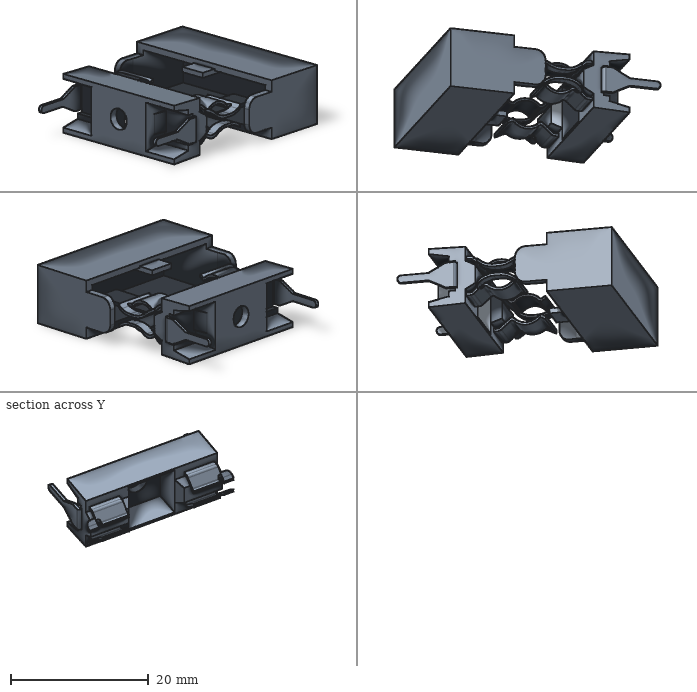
import cadquery as cq
import math


total_length = 32.6
height = 9.0
cover_back_y = total_length / 2
terminal_tip_y = -total_length / 2

cover_width = 26.6
cover_depth = 9.75
cover_end_wall = 1.27
cover_roof = 1.0
cover_mouth_y = cover_back_y - cover_depth
ear_length = 4.75
ear_height = 5.48
ear_corner_radius = 1.55
ear_tip_thickness = 1.0
ear_taper_length = 2.5
rail_width = 4.08
rail_overhang = 2.5
rail_thickness = 0.78
rail_inset = 0.75

base_width = 21.9
base_front_y = -11.77
base_back_y = -6.25
base_back_height = 8.7
lug_length = 1.47
lug_foot_height = 4.43
lug_tip_height = 2.8
lug_tip_inner_x = 4.6
cavity_width = 7.7
cavity_height = 8.0
cavity_front_wall = 1.27
sight_hole_diameter = 3.2

pocket_inner_x = 5.4
pocket_floor_y = -7.8
pocket_step_y = -8.7
pocket_floor_height = 4.6
pocket_step_height = 6.2
pocket_mouth_height = 7.43
wedge_start_y = -10.05
wedge_rise = 0.33
wedge_height = 3.13

terminal_thickness = 0.52
terminal_bend_radius = 0.5
terminal_outer_x = 11.57
terminal_plate_height = 3.8
terminal_pin_height = 1.15
terminal_taper_start_y = -9.05
terminal_taper_end_y = -11.65
terminal_foot_y = -7.95

sheet = 0.4
clip_outer_x = 12.03
clip_stem_outer_x = 10.43
clip_inner_x = pocket_inner_x
clip_root = 0.33
stem_z = 2.8
trough_z = 0.72
trough_front_y = -1.73
trough_back_y = -0.9
trough_radius = 3.42
stem_bend_radius = 0.6
stem_slope = math.radians(41)
lip_slope = math.radians(30)
lip_length = 0.9
shoulder_y = -4.43
frame_corner_radius = 0.78
lip_inner_radius = 0.23
slot_inner_x = 9.8
slot_front_y = -4.2
slot_back_y = 1.05
slot_corner_radius = 0.33
arch_front_y = -3.45
arch_back_y = 0.72
arch_radius = 2.6
arch_crest_z = 2.2
arch_foot_z = 1.15
arch_front_blend = 0.4
arch_back_blend = 0.2


def box(x_range, y_range, z_range):
    """Axis-aligned block between the given limits."""
    sizes = [end - start for start, end in (x_range, y_range, z_range)]
    corner = (x_range[0], y_range[0], z_range[0])
    return cq.Workplane("XY").box(*sizes, centered=False).translate(corner)


def centred(width):
    """Limits of a span centred on zero."""
    return (-width / 2, width / 2)


def side_prism(points, x_range):
    """Prism along X with its outline given as (y, z) points."""
    start, end = x_range
    return cq.Workplane("YZ", origin=(start, 0, 0)).polyline(points).close().extrude(end - start)


def plan_prism(points, z_range):
    """Prism along Z with its outline given as (x, y) points."""
    start, end = z_range
    return cq.Workplane("XY", origin=(0, 0, start)).polyline(points).close().extrude(end - start)


def mirrored_outline(upper_points):
    """Closed outline from its upper half, by reflecting the (y, z) points in z = 0."""
    return upper_points + [(y, -z) for y, z in reversed(upper_points)]


def on_both_ends(shape):
    """The shape and its mirror image at the other end of the fuse."""
    return [shape, shape.mirror("YZ")]


def cover_ear():
    """Rounded guide plate that extends the +X end wall; its inner face tapers towards the tip."""
    outer_x = cover_width / 2
    inner_x = outer_x - cover_end_wall
    tip_y = cover_mouth_y - ear_length
    ear = box((inner_x, outer_x), (tip_y, cover_mouth_y), centred(ear_height))
    ear = ear.edges("|X and <Y").fillet(ear_corner_radius)
    taper = plan_prism(
        [(inner_x, tip_y + ear_taper_length), (inner_x, tip_y), (outer_x - ear_tip_thickness, tip_y)],
        centred(ear_height),
    )
    return ear.cut(taper)


def cover_rail():
    """Guide rail inside the roof that reaches out of the mouth."""
    top_z = height / 2 - rail_inset
    return box(
        centred(rail_width),
        (cover_mouth_y - rail_overhang, cover_back_y - cover_end_wall),
        (top_z - rail_thickness, top_z),
    )


def make_cover():
    cover = box(centred(cover_width), (cover_mouth_y, cover_back_y), centred(height))
    interior = box(
        centred(cover_width - 2 * cover_end_wall),
        (cover_mouth_y, cover_back_y - cover_end_wall),
        centred(height - 2 * cover_roof),
    )
    cover = cover.cut(interior)
    for ear in on_both_ends(cover_ear()):
        cover = cover.union(ear)
    rail = cover_rail()
    return cover.union(rail).union(rail.mirror("XY"))


def base_lug():
    """Tapered nose behind the +X pocket."""
    tip_y = base_back_y + lug_length
    side = side_prism(
        mirrored_outline([(base_back_y, lug_foot_height / 2), (tip_y, lug_tip_height / 2)]),
        (0, base_width / 2),
    )
    plan = plan_prism(
        [
            (base_width / 2, base_back_y),
            (base_width / 2, tip_y),
            (lug_tip_inner_x, tip_y),
            (cavity_width / 2, base_back_y),
        ],
        centred(lug_foot_height),
    )
    return side.intersect(plan)


def side_pocket():
    """Stepped and flared pocket, open at the front and at the +X end."""
    outline = mirrored_outline(
        [
            (base_front_y, pocket_mouth_height / 2),
            (pocket_step_y, pocket_step_height / 2),
            (pocket_step_y, pocket_floor_height / 2),
            (pocket_floor_y, pocket_floor_height / 2),
        ]
    )
    return side_prism(outline, (pocket_inner_x, base_width / 2))


def pocket_wedge():
    """Ramp on the inner wall of the +X pocket, highest at the pocket floor."""
    return plan_prism(
        [
            (pocket_inner_x, wedge_start_y),
            (pocket_inner_x, pocket_floor_y),
            (pocket_inner_x + wedge_rise, pocket_floor_y),
        ],
        centred(wedge_height),
    )


def make_base_block():
    block = side_prism(
        mirrored_outline([(base_front_y, height / 2), (base_back_y, base_back_height / 2)]),
        centred(base_width),
    )
    cavity = box(
        centred(cavity_width),
        (base_front_y + cavity_front_wall, base_back_y),
        centred(cavity_height),
    )
    sight_hole = (
        cq.Workplane("XZ", origin=(0, base_front_y, 0))
        .circle(sight_hole_diameter / 2)
        .extrude(-cavity_front_wall)
    )
    block = block.cut(cavity).cut(sight_hole)
    for pocket in on_both_ends(side_pocket()):
        block = block.cut(pocket)
    for part in on_both_ends(base_lug()) + on_both_ends(pocket_wedge()):
        block = block.union(part)
    return block


def make_terminal():
    """L-shaped sheet terminal of the +X end: a foot on the base's side and a plate narrowing to a pin."""
    foot_back_y = terminal_foot_y + terminal_thickness
    inner_x = terminal_outer_x - terminal_thickness
    root_x = base_width / 2
    tip_radius = terminal_pin_height / 2
    bent_sheet = plan_prism(
        [
            (root_x, foot_back_y),
            (terminal_outer_x, foot_back_y),
            (terminal_outer_x, terminal_tip_y),
            (inner_x, terminal_tip_y),
            (inner_x, terminal_foot_y),
            (root_x, terminal_foot_y),
        ],
        centred(terminal_plate_height),
    )
    bent_sheet = bent_sheet.edges("|Z and >X and >Y").fillet(terminal_bend_radius)
    outline = mirrored_outline(
        [
            (foot_back_y, terminal_plate_height / 2),
            (terminal_taper_start_y, terminal_plate_height / 2),
            (terminal_taper_end_y, terminal_pin_height / 2),
            (terminal_tip_y + tip_radius, tip_radius),
        ]
    )
    silhouette = side_prism(outline, (root_x, terminal_outer_x))
    round_tip = (
        cq.Workplane("YZ", origin=(root_x, terminal_tip_y + tip_radius, 0))
        .circle(tip_radius)
        .extrude(terminal_outer_x - root_x)
    )
    silhouette = silhouette.union(round_tip)
    return bent_sheet.intersect(silhouette)


def clip_strip():
    """Full-width sheet bent along the stem, the trough and the lip of the upper +X spring arm."""
    slope_rise = stem_z - trough_z - (trough_radius + stem_bend_radius) * (1 - math.cos(stem_slope))
    slope_run = slope_rise / math.tan(stem_slope)
    bend_y = trough_front_y - (trough_radius + stem_bend_radius) * math.sin(stem_slope) - slope_run
    stem_centre = (bend_y, stem_z - stem_bend_radius)
    front_centre = (trough_front_y, trough_z + trough_radius)
    back_centre = (trough_back_y, trough_z + trough_radius)

    def above(centre, angle):
        return (
            centre[0] + stem_bend_radius * math.sin(angle),
            centre[1] + stem_bend_radius * math.cos(angle),
        )

    def below(centre, angle):
        return (
            centre[0] + trough_radius * math.sin(angle),
            centre[1] - trough_radius * math.cos(angle),
        )

    lip_start = below(back_centre, lip_slope)
    lip_end = (
        lip_start[0] + lip_length * math.cos(lip_slope),
        lip_start[1] + lip_length * math.sin(lip_slope),
    )
    root_y = base_back_y - clip_root
    path = (
        cq.Workplane("YZ")
        .moveTo(root_y, stem_z)
        .lineTo(bend_y, stem_z)
        .threePointArc(above(stem_centre, stem_slope / 2), above(stem_centre, stem_slope))
        .lineTo(*below(front_centre, -stem_slope))
        .threePointArc(below(front_centre, -stem_slope / 2), below(front_centre, 0))
        .lineTo(trough_back_y, trough_z)
        .threePointArc(below(back_centre, lip_slope / 2), lip_start)
        .lineTo(*lip_end)
    )
    middle_x = (clip_outer_x + clip_inner_x) / 2
    section = cq.Workplane("XZ", origin=(middle_x, root_y, stem_z))
    section = section.rect(clip_outer_x - clip_inner_x, sheet)
    return section.sweep(path)


def clip_plan(back_y):
    """Plan outline of the sheet: a stem that widens to a frame with rounded corners."""
    stem = box((clip_inner_x, clip_stem_outer_x), (base_back_y - clip_root, back_y), (0, height))
    frame = box((clip_inner_x, clip_outer_x), (shoulder_y, back_y), (0, height))
    frame = frame.edges("|Z and >X").fillet(frame_corner_radius)
    lip_corner = "|Z and <X and >Y"
    frame = frame.edges(lip_corner).fillet(lip_inner_radius)
    stem = stem.edges(lip_corner).fillet(lip_inner_radius)
    slot = box((slot_inner_x, clip_stem_outer_x), (slot_front_y, slot_back_y), (0, height))
    slot = slot.edges("|Z and <X").fillet(slot_corner_radius)
    arch_window = box((clip_inner_x, slot_inner_x), (arch_front_y, arch_back_y), (0, height))
    return stem.union(frame).cut(slot).cut(arch_window)


def clip_arch():
    """Curved saddle that grips the fuse, bulging away from it."""
    middle_y = (arch_front_y + arch_back_y) / 2
    ring = (
        cq.Workplane("YZ", origin=(clip_inner_x, middle_y, arch_crest_z - arch_radius))
        .circle(arch_radius + sheet / 2)
        .circle(arch_radius - sheet / 2)
        .extrude(slot_inner_x - clip_inner_x)
    )
    reach = arch_radius + sheet
    return ring.intersect(
        box((clip_inner_x, slot_inner_x), (middle_y - reach, middle_y + reach), (arch_foot_z, height))
    )


def make_clip_arm():
    """Upper spring arm of the +X clip."""
    strip = clip_strip()
    lip_y = strip.val().BoundingBox().ymax
    arm = strip.intersect(clip_plan(lip_y)).union(clip_arch())
    middle_x = (clip_inner_x + slot_inner_x) / 2
    for joint_y, blend in [(arch_front_y, arch_front_blend), (arch_back_y, arch_back_blend)]:
        joint = cq.selectors.NearestToPointSelector((middle_x, joint_y, arch_foot_z + sheet))
        arm = arm.edges("|X").edges(joint).fillet(blend)
    return arm


def make_base():
    """Base block with its clips and terminals, all as one solid."""
    base = make_base_block()
    arm = make_clip_arm()
    for part in [make_terminal(), arm, arm.mirror("XY")]:
        for placed in on_both_ends(part):
            base = base.union(placed)
    return base


cover = make_cover()
base = make_base()

result = cq.Compound.makeCompound([cover.val(), base.val()])